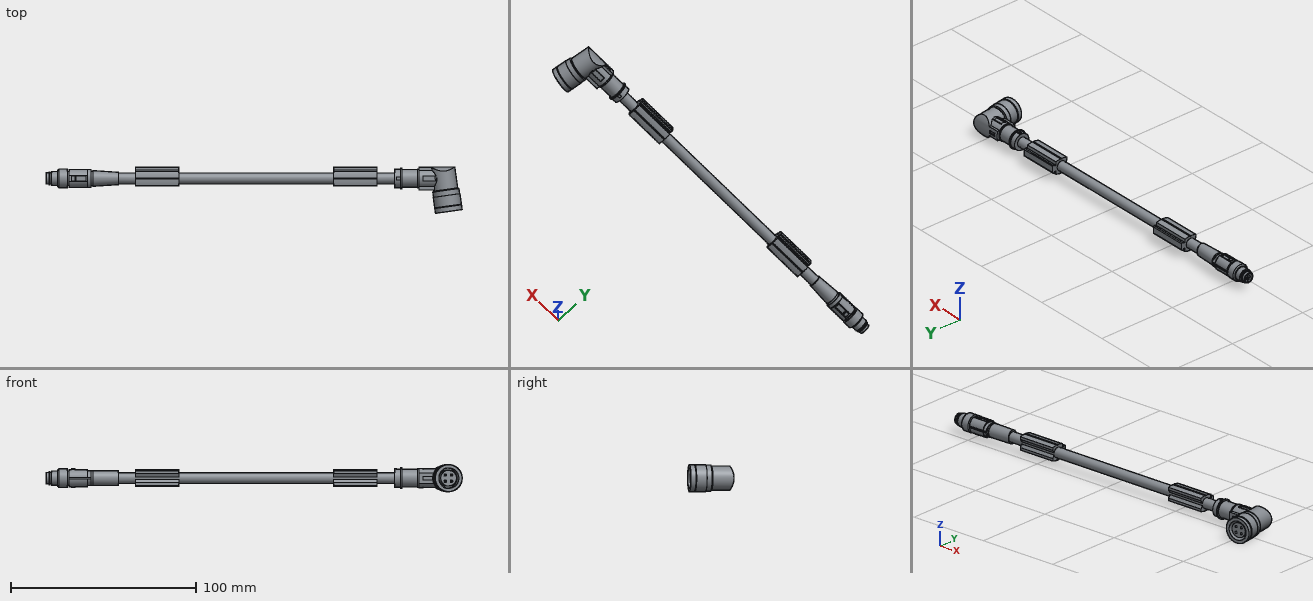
import cadquery as cq
import math


RIGHT_LIMIT = 224.84
FRONT_LIMIT = -18.9
BACK_LIMIT = 6.3

CABLE_R = 3.0
CABLE_START = 30.0
CABLE_END = 195.0

PIN_SHELL_R = 3.1
RING_R = 3.6
THREAD_R = 3.9
PLUG_BORE_R = 2.5
PLUG_BORE_DEPTH = 4.0
PLUG_PIN_R = 0.5
PLUG_PIN_CIRCLE_R = 1.5
PLUG_PIN_COUNT = 4
RING_START = 1.6
RING_END = 2.1
COLLAR_START = 2.9
PLUG_NUT_START = 6.2
PLUG_NUT_END = 11.4
PLUG_NUT_R = 5.15
PLUG_NUT_CHAMFER = 0.7
PLUG_GRIP_START = 12.4
PLUG_GRIP_END = 22.2
PLUG_GRIP_R = 4.95
PLUG_GRIP_HALF_HEIGHT = 4.65
PLUG_TAB_START = 13.6
PLUG_TAB_END = 15.5
PLUG_COLLAR_END = 24.3
PLUG_NECK_END = 25.4
PLUG_SLEEVE_END = 39.0
PLUG_SLEEVE_START_HALF_WIDTH = 4.3
PLUG_SLEEVE_END_HALF_WIDTH = 3.4
SLEEVE_HALF_HEIGHT = 4.0

CARRIER_LENGTH = 23.5
CARRIER_STARTS = (48.2, 155.3)
CARRIER_HALF_HEIGHT = 4.55
CARRIER_FRONT = -4.0
CARRIER_LIP_HALF_HEIGHT = 3.9
CARRIER_BACK = 3.9
NOTCH_HALF_MOUTH = 2.4
NOTCH_HALF_FLOOR = 0.6
NOTCH_FLOOR = -2.9
NECK_HALF_HEIGHT = 1.8
PLATE_FRONT = 4.7
PLATE_HALF_HEIGHT = 2.5
PLATE_CHAMFER = 0.5
SEAM_WIDTH = 0.6
SEAM_DEPTH = 0.3

FLANGE_START = 188.2
FLANGE_END = 191.4
FLANGE_R = 5.1
RIDGE_WIDTH = 0.8
RIDGE_R = 5.7
BARREL_R = 4.85
ELBOW_GRIP_START = 201.3
ELBOW_GRIP_R = 5.3
PAD_HALF_HEIGHT = 2.9
ELBOW_CURVE_R = 10.5

ARM_TILT = 8.0
ARM_R = 6.6
ARM_BACK_REACH = 9.0
ARM_END = 6.0
ARM_NECK_R = 5.9
NUT_START = 6.5
NUT_R = 7.37
NUT_COLLAR_R = 7.2
NUT_COLLAR_END = 9.3
NUT_GROOVE_START = 15.0
NUT_GROOVE_END = 15.4
NUT_GROOVE_R = 7.1
SOCKET_BORE_R = 5.5
SOCKET_BORE_DEPTH = 8.0
INSERT_R = 4.3
INSERT_RECESS = 1.0
CONTACT_R = 0.6
CONTACT_CIRCLE_R = 2.4
CONTACT_COUNT = 4
CONTACT_DEPTH = 4.0

TILT = math.radians(ARM_TILT)
FACE_X = RIGHT_LIMIT - NUT_R * math.cos(TILT)
FACE_Y = FRONT_LIMIT + NUT_R * math.sin(TILT)
ARM_LENGTH = -FACE_Y / math.cos(TILT)
ARM_X = FACE_X + FACE_Y * math.tan(TILT)


def rod(radius, start, end):
    """Cylinder about the cable axis between two X positions."""
    return cq.Workplane("YZ", origin=(start, 0, 0)).circle(radius).extrude(end - start)


def block(x_start, x_end, y_centre, z_centre, width, height):
    """Box given by its X range and its centre and size in Y and Z."""
    middle = (0.5 * (x_start + x_end), y_centre, z_centre)
    return cq.Workplane("XY", origin=middle).box(x_end - x_start, width, height)


def arm_rod(radius, start, end):
    """Cylinder about the tilted arm axis, in arm lengths from the cable axis."""
    direction = cq.Vector(math.sin(TILT), -math.cos(TILT), 0)
    base = cq.Vector(ARM_X, 0, 0) + direction * start
    plane = cq.Plane(origin=base.toTuple(), xDir=(0, 0, 1), normal=direction.toTuple())
    return cq.Workplane(plane).circle(radius).extrude(end - start)


def on_circle(radius, count):
    """Evenly spaced points on a circle, turned to straddle the axes."""
    angles = [math.pi / count * (2 * i + 1) for i in range(count)]
    return [(radius * math.cos(a), radius * math.sin(a)) for a in angles]


def plug_front():
    """Contact shell, threaded collar, nut and contact pins of the straight plug."""
    front = rod(PIN_SHELL_R, 0, COLLAR_START)
    front = front.union(rod(RING_R, RING_START, RING_END))
    front = front.union(rod(THREAD_R, COLLAR_START, PLUG_GRIP_START))
    nut = rod(PLUG_NUT_R, PLUG_NUT_START, PLUG_NUT_END).faces("<X").chamfer(PLUG_NUT_CHAMFER)
    front = front.union(nut).cut(rod(PLUG_BORE_R, 0, PLUG_BORE_DEPTH))
    pins = (
        cq.Workplane("YZ", origin=(RING_START, 0, 0))
        .pushPoints(on_circle(PLUG_PIN_CIRCLE_R, PLUG_PIN_COUNT))
        .circle(PLUG_PIN_R)
        .extrude(PLUG_BORE_DEPTH - RING_START)
    )
    return front.union(pins)


def plug_grip():
    """Grip of the straight plug: flattened body, collar, tabs and lengthwise grooves."""
    window_start, window_end = 16.0, 21.5
    top_groove_width, side_groove_width = 2.6, 0.7
    groove_depth = 0.6
    body = rod(PLUG_GRIP_R, PLUG_GRIP_START, PLUG_GRIP_END)
    flattening = block(
        PLUG_GRIP_START, PLUG_GRIP_END,
        0, 0, 2 * PLUG_GRIP_R, 2 * PLUG_GRIP_HALF_HEIGHT,
    )
    collar = (
        cq.Workplane("YZ", origin=(PLUG_GRIP_END, 0, 0))
        .ellipse(PLUG_GRIP_R, SLEEVE_HALF_HEIGHT)
        .extrude(PLUG_COLLAR_END - PLUG_GRIP_END)
    )
    grip = body.intersect(flattening).union(collar)
    for side in (-1, 1):
        top_groove = block(
            window_start, window_end,
            0, side * PLUG_GRIP_HALF_HEIGHT, top_groove_width, 2 * groove_depth,
        )
        side_groove = block(
            PLUG_GRIP_START, PLUG_COLLAR_END,
            side * PLUG_GRIP_R, 0, 2 * groove_depth, side_groove_width,
        )
        grip = grip.cut(top_groove).cut(side_groove)
    tabs = block(PLUG_TAB_START, PLUG_TAB_END, 0, 0, top_groove_width, 2 * PLUG_NUT_R)
    return grip.union(tabs)


def plug_sleeve():
    """Strain relief behind the grip: constant height, narrowing in Y."""
    neck = rod(SLEEVE_HALF_HEIGHT, PLUG_COLLAR_END, PLUG_NECK_END)
    sleeve = (
        cq.Workplane("YZ", origin=(PLUG_NECK_END, 0, 0))
        .ellipse(PLUG_SLEEVE_START_HALF_WIDTH, SLEEVE_HALF_HEIGHT)
        .workplane(offset=PLUG_SLEEVE_END - PLUG_NECK_END)
        .ellipse(PLUG_SLEEVE_END_HALF_WIDTH, SLEEVE_HALF_HEIGHT)
        .loft()
    )
    return neck.union(sleeve)


def label_carrier(start):
    """Clip with a notched front, joined by a neck to a flat label plate behind."""
    body = (
        cq.Workplane("YZ", origin=(start, 0, 0))
        .moveTo(NOTCH_FLOOR, -NOTCH_HALF_FLOOR)
        .lineTo(CARRIER_FRONT, -NOTCH_HALF_MOUTH)
        .lineTo(CARRIER_FRONT, -CARRIER_LIP_HALF_HEIGHT)
        .threePointArc((0, -CARRIER_HALF_HEIGHT), (CARRIER_BACK, -CARRIER_LIP_HALF_HEIGHT))
        .lineTo(CARRIER_BACK, CARRIER_LIP_HALF_HEIGHT)
        .threePointArc((0, CARRIER_HALF_HEIGHT), (CARRIER_FRONT, CARRIER_LIP_HALF_HEIGHT))
        .lineTo(CARRIER_FRONT, NOTCH_HALF_MOUTH)
        .lineTo(NOTCH_FLOOR, NOTCH_HALF_FLOOR)
        .close()
        .extrude(CARRIER_LENGTH)
    )
    end = start + CARRIER_LENGTH
    neck_middle = 0.5 * (CARRIER_BACK + PLATE_FRONT)
    neck = block(start, end, neck_middle, 0, PLATE_FRONT - CARRIER_BACK, 2 * NECK_HALF_HEIGHT)
    plate_middle = 0.5 * (PLATE_FRONT + BACK_LIMIT)
    plate = block(start, end, plate_middle, 0, BACK_LIMIT - PLATE_FRONT, 2 * PLATE_HALF_HEIGHT)
    plate = plate.edges("|X and >Y").chamfer(PLATE_CHAMFER)
    for side in (-1, 1):
        seam = block(start, end, 0, side * CARRIER_HALF_HEIGHT, SEAM_WIDTH, 2 * SEAM_DEPTH)
        body = body.cut(seam)
    return body.union(neck).union(plate)


def elbow_barrel():
    """Cable entry of the angled socket: flange, ridge and round barrel."""
    window_start, window_width, window_depth = 189.4, 1.4, 0.4
    barrel = rod(FLANGE_R, FLANGE_START, FLANGE_END)
    barrel = barrel.union(rod(RIDGE_R, FLANGE_END, FLANGE_END + RIDGE_WIDTH))
    barrel = barrel.union(rod(BARREL_R, FLANGE_END, ELBOW_GRIP_START))
    end_ridge = rod(FLANGE_R, ELBOW_GRIP_START - RIDGE_WIDTH, ELBOW_GRIP_START)
    for side in (-1, 1):
        window = block(
            window_start, FLANGE_END, 0, side * FLANGE_R, window_width, 2 * window_depth
        )
        barrel = barrel.cut(window)
    return barrel.union(end_ridge)


def elbow_grip():
    """Round grip of the angled socket with pads front and back and grooves on four sides."""
    groove_start, groove_end = 203.5, 211.0
    top_groove_width, pad_groove_width = 2.8, 1.8
    groove_depth = 0.8
    grip = rod(ELBOW_GRIP_R, ELBOW_GRIP_START, ARM_X)
    pads = block(ELBOW_GRIP_START, ARM_X, 0, 0, 2 * BACK_LIMIT, 2 * PAD_HALF_HEIGHT)
    grip = grip.union(pads)
    for side in (-1, 1):
        top_groove = block(
            groove_start, groove_end,
            0, side * ELBOW_GRIP_R, top_groove_width, 2 * groove_depth,
        )
        pad_groove = block(
            groove_start, groove_end,
            side * BACK_LIMIT, 0, 2 * groove_depth, pad_groove_width,
        )
        grip = grip.cut(top_groove).cut(pad_groove)
    return grip


def elbow():
    """Grip and arm housing, rounded across the back of the elbow."""
    housing = elbow_grip().union(arm_rod(ARM_R, -ARM_BACK_REACH, ARM_END))
    envelope_length = RIGHT_LIMIT - ELBOW_GRIP_START
    curve_centre = BACK_LIMIT - ELBOW_CURVE_R
    envelope = (
        cq.Workplane("YZ", origin=(ELBOW_GRIP_START, curve_centre, 0))
        .circle(ELBOW_CURVE_R)
        .extrude(envelope_length)
    )
    return housing.intersect(envelope)


def socket_nut():
    """Coupling nut on the tilted arm with its contact insert."""
    nut = arm_rod(ARM_NECK_R, 0, NUT_START)
    nut = nut.union(arm_rod(NUT_COLLAR_R, NUT_START, NUT_COLLAR_END))
    nut = nut.union(arm_rod(NUT_R, NUT_COLLAR_END, NUT_GROOVE_START))
    nut = nut.union(arm_rod(NUT_GROOVE_R, NUT_GROOVE_START, NUT_GROOVE_END))
    nut = nut.union(arm_rod(NUT_R, NUT_GROOVE_END, ARM_LENGTH))
    bore_floor = ARM_LENGTH - SOCKET_BORE_DEPTH
    nut = nut.cut(arm_rod(SOCKET_BORE_R, bore_floor, ARM_LENGTH))
    insert = (
        arm_rod(INSERT_R, bore_floor, ARM_LENGTH - INSERT_RECESS)
        .faces("<Y").workplane(origin=(FACE_X, FACE_Y, 0))
        .pushPoints(on_circle(CONTACT_CIRCLE_R, CONTACT_COUNT))
        .hole(2 * CONTACT_R, CONTACT_DEPTH)
    )
    return nut.union(insert)


result = rod(CABLE_R, CABLE_START, CABLE_END)
for section in (plug_front(), plug_grip(), plug_sleeve()):
    result = result.union(section)
for carrier_start in CARRIER_STARTS:
    result = result.union(label_carrier(carrier_start))
for section in (elbow_barrel(), elbow(), socket_nut()):
    result = result.union(section)